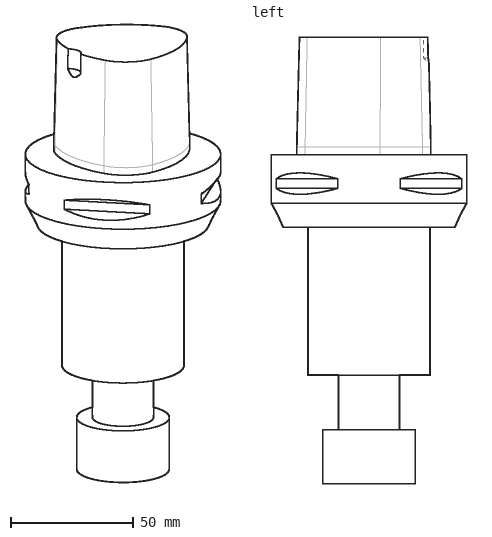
import cadquery as cq
import math

HEAD_DIAMETER = 38.0
NECK_DIAMETER = 25.0
BODY_DIAMETER = 50.0
FLANGE_DIAMETER = 80.0
FLANGE_BOTTOM_DIAMETER = 70.3
HEAD_TOP = 22.0
NECK_TOP = 44.3
BODY_TOP = 104.8
FLANGE_EDGE = 114.6
FLANGE_TOP = 134.5
TOTAL_HEIGHT = 182.5

LOBE_REACH = 29.5
FLANK_REACH = 25.4
LOBE_RADIUS = 16.6
LOBE_COUNT = 3
COLLAR_HEIGHT = 3.3
TAPER_INSET = 1.1

NOTCH_RADIUS = 6.2
NOTCH_INNER_REACH = 22.0
NOTCH_DEPTH = 8.4

GROOVE_COUNT = 4
GROOVE_FLOOR_REACH = 35.8
GROOVE_FLOOR_HEIGHT = 3.8
GROOVE_MOUTH_HEIGHT = 8.8
GROOVE_CENTER_HEIGHT = 122.6


def make_turned_body():
    outline = [
        (0, 0),
        (HEAD_DIAMETER / 2, 0),
        (HEAD_DIAMETER / 2, HEAD_TOP),
        (NECK_DIAMETER / 2, HEAD_TOP),
        (NECK_DIAMETER / 2, NECK_TOP),
        (BODY_DIAMETER / 2, NECK_TOP),
        (BODY_DIAMETER / 2, BODY_TOP),
        (FLANGE_BOTTOM_DIAMETER / 2, BODY_TOP),
        (FLANGE_DIAMETER / 2, FLANGE_EDGE),
        (FLANGE_DIAMETER / 2, FLANGE_TOP),
        (0, FLANGE_TOP),
    ]
    return cq.Workplane("XZ").polyline(outline).close().revolve(360, (0, 0), (0, 1))


def polar_point(reach, angle):
    return (reach * math.cos(angle), reach * math.sin(angle))


def add_lobed_outline(workplane, inset):
    """Draw tangent lobe and flank arcs; an inset keeps the arc centres fixed."""
    lobe_center = LOBE_REACH - LOBE_RADIUS
    flank_gap = FLANK_REACH - LOBE_RADIUS
    flank_center = (lobe_center**2 - flank_gap**2) / (2 * flank_gap - lobe_center)

    half_step = math.pi / LOBE_COUNT
    across = lobe_center * math.sin(half_step)
    along = lobe_center * math.cos(half_step)
    arc_half_angle = math.atan2(across, along + flank_center)
    flank_radius = FLANK_REACH + flank_center - inset
    joint_across = flank_radius * math.sin(arc_half_angle)
    joint_along = flank_radius * math.cos(arc_half_angle) - flank_center
    joint_reach = math.hypot(joint_across, joint_along)
    joint_angle = math.atan2(joint_across, joint_along)

    first_flank = -math.pi / 2
    outline = workplane.moveTo(*polar_point(joint_reach, first_flank - joint_angle))
    for index in range(LOBE_COUNT):
        flank = first_flank + 2 * half_step * index
        lobe = flank + half_step
        next_flank = lobe + half_step
        outline = outline.threePointArc(
            polar_point(FLANK_REACH - inset, flank),
            polar_point(joint_reach, flank + joint_angle),
        )
        outline = outline.threePointArc(
            polar_point(LOBE_REACH - inset, lobe),
            polar_point(joint_reach, next_flank - joint_angle),
        )
    return outline.close()


def make_shank():
    base = cq.Workplane("XY").workplane(offset=FLANGE_TOP)
    collar = add_lobed_outline(base, 0).extrude(COLLAR_HEIGHT)
    taper_base = base.workplane(offset=COLLAR_HEIGHT)
    taper_height = TOTAL_HEIGHT - FLANGE_TOP - COLLAR_HEIGHT
    lower_outline = add_lobed_outline(taper_base, 0)
    both_outlines = add_lobed_outline(lower_outline.workplane(offset=taper_height), TAPER_INSET)
    return collar.union(both_outlines.loft(ruled=True))


def make_notch_cutter():
    shoulder = TOTAL_HEIGHT - NOTCH_DEPTH
    outline = [
        (0, shoulder - NOTCH_RADIUS),
        (NOTCH_RADIUS, shoulder),
        (NOTCH_RADIUS, TOTAL_HEIGHT),
        (0, TOTAL_HEIGHT),
    ]
    cutter = cq.Workplane("XZ").polyline(outline).close().revolve(360, (0, 0), (0, 1))
    return cutter.translate((0, -NOTCH_INNER_REACH - NOTCH_RADIUS, 0))


def make_groove_cutter():
    """Trapezoidal groove facing +X, with sloped upper and lower walls."""
    mouth_reach = FLANGE_DIAMETER / 2
    half_floor = GROOVE_FLOOR_HEIGHT / 2
    half_mouth = GROOVE_MOUTH_HEIGHT / 2
    outline = [
        (GROOVE_FLOOR_REACH, GROOVE_CENTER_HEIGHT - half_floor),
        (mouth_reach, GROOVE_CENTER_HEIGHT - half_mouth),
        (mouth_reach, GROOVE_CENTER_HEIGHT + half_mouth),
        (GROOVE_FLOOR_REACH, GROOVE_CENTER_HEIGHT + half_floor),
    ]
    return cq.Workplane("XZ").polyline(outline).close().extrude(FLANGE_DIAMETER / 2, both=True)


result = make_turned_body().union(make_shank()).cut(make_notch_cutter())

groove_step = 360 / GROOVE_COUNT
for groove_index in range(GROOVE_COUNT):
    groove_angle = groove_step * (groove_index + 0.5)
    result = result.cut(make_groove_cutter().rotate((0, 0, 0), (0, 0, 1), groove_angle))